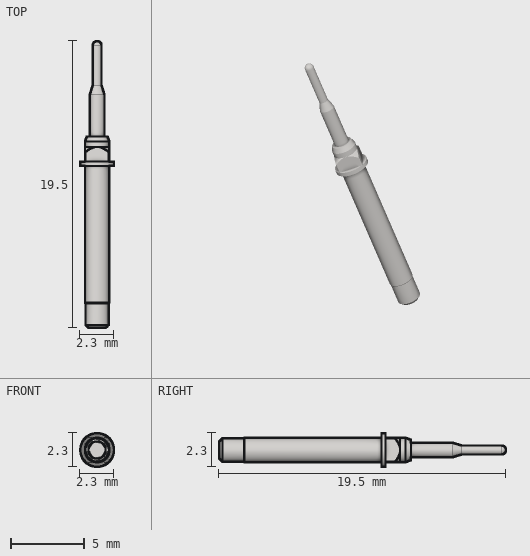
import cadquery as cq

LENGTH = 19.5
Y_TIP = LENGTH / 2

TIP_R = 0.31
PLUNGER_R = 0.5
NOSE_R = 0.7
BODY_R = 0.84
FLANGE_R = 1.15
TAIL_R = 0.8
TAIL_CHAMFER = 0.21

TIP_CONE_START = 3.02
TIP_CONE_END = 3.65
NOSE_START = 6.47
NOSE_CONE_END = 6.82
SQUARE_START = 7.2
FLANGE_START = 8.19
FLANGE_END = 8.48
BODY_END = 17.76
TAIL_START = 17.82

SQUARE_SIDE = 1.68
SQUARE_CORNER_R = FLANGE_R
SQUARE_LEAD_LENGTH = 0.33


def along(distance):
    """Y position at a distance from the tip."""
    return Y_TIP - distance


def revolve(profile):
    """Revolve a half profile in the XY plane around the Y axis."""
    return profile.close().revolve(360, (0, 0, 0), (0, 1, 0))


def make_pin():
    """Turned pin from the domed tip to the chamfered tail."""
    dome_diagonal = TIP_R * 0.5**0.5
    profile = (
        cq.Workplane("XY")
        .moveTo(0, Y_TIP)
        .threePointArc((dome_diagonal, along(TIP_R - dome_diagonal)), (TIP_R, along(TIP_R)))
        .lineTo(TIP_R, along(TIP_CONE_START))
        .lineTo(PLUNGER_R, along(TIP_CONE_END))
        .lineTo(PLUNGER_R, along(NOSE_START))
        .lineTo(NOSE_R, along(NOSE_START))
        .lineTo(BODY_R, along(NOSE_CONE_END))
        .lineTo(BODY_R, along(FLANGE_START))
        .lineTo(FLANGE_R, along(FLANGE_START))
        .lineTo(FLANGE_R, along(FLANGE_END))
        .lineTo(BODY_R, along(FLANGE_END))
        .lineTo(BODY_R, along(BODY_END))
        .lineTo(TAIL_R, along(TAIL_START))
        .lineTo(TAIL_R, along(LENGTH - TAIL_CHAMFER))
        .lineTo(TAIL_R - TAIL_CHAMFER, along(LENGTH))
        .lineTo(0, along(LENGTH))
    )
    return revolve(profile)


def make_square():
    """Four-flat section whose leading end is turned to a cone."""
    blank = revolve(
        cq.Workplane("XY")
        .moveTo(0, along(SQUARE_START))
        .lineTo(BODY_R, along(SQUARE_START))
        .lineTo(SQUARE_CORNER_R, along(SQUARE_START + SQUARE_LEAD_LENGTH))
        .lineTo(SQUARE_CORNER_R, along(FLANGE_START))
        .lineTo(0, along(FLANGE_START))
    )
    square_length = FLANGE_START - SQUARE_START
    bar = cq.Workplane("XY").box(SQUARE_SIDE, square_length, SQUARE_SIDE)
    bar = bar.translate((0, along(SQUARE_START + square_length / 2), 0))
    return blank.intersect(bar)


result = make_pin().union(make_square())